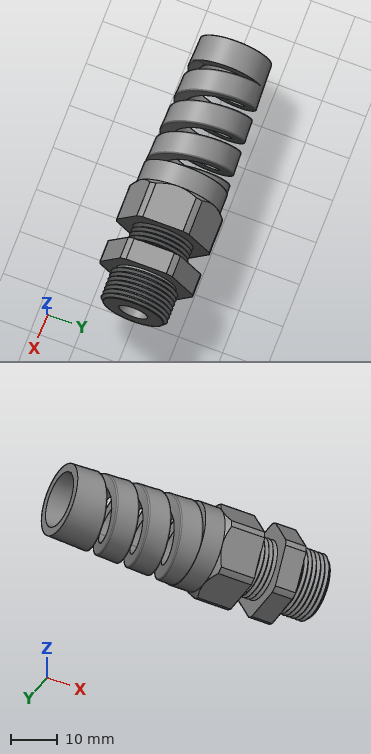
import cadquery as cq
import math


TOTAL_LENGTH = 61.98
SPIRAL_START = 6.05
SPIRAL_END = 30.3
COLLAR_END = 35.0
CAP_END = 44.05
BODY_HEX_START = 49.15
BODY_HEX_END = 54.1
SEAT = COLLAR_END

ACROSS_FLATS = 19.05
CORNER_DIAMETER = 21.14
COLLAR_RADIUS = ACROSS_FLATS / 2
CHAMFER = CORNER_DIAMETER / 2 - COLLAR_RADIUS

MOUTH_OUTER_RADIUS = 8.15
SLEEVE_ROOT_RADIUS = 9.4
MOUTH_BORE_RADIUS = 6.25
SLEEVE_BORE_RADIUS = 5.95

SLOT_PITCH = 7.6
SLOT_WIDTH = 2.3
SLOT_EDGE_FILLET = 0.25
SLOT_START_ANGLE = 87.0

BODY_BORE_RADIUS = 3.3
INNER_TEETH = 5
THREAD_PITCH = (BODY_HEX_START - CAP_END) / INNER_TEETH
INNER_CREST_RADIUS = 6.87
INNER_ROOT_RADIUS = 5.98
OUTER_CREST_RADIUS = 7.6
OUTER_ROOT_RADIUS = 6.85
OUTER_TEETH = 7
OUTER_THREAD_START = BODY_HEX_END + THREAD_PITCH / 2


def cylinder(start, end, radius):
    return cq.Workplane("YZ", origin=(start, 0, 0)).circle(radius).extrude(end - start)


def revolve_profile(points):
    """Turn an (x, radius) outline about the X axis."""
    return cq.Workplane("XY").polyline(points).close().revolve(360, (0, 0, 0), (1, 0, 0))


def turned_hexagon(start, end):
    """Hexagon with flats on +Z and -Z and its corners rounded to a cylinder."""
    sharp_diameter = ACROSS_FLATS / math.cos(math.radians(30))
    prism = cq.Workplane("YZ", origin=(start, 0, 0)).polygon(6, sharp_diameter).extrude(end - start)
    return prism.intersect(cylinder(start, end, CORNER_DIAMETER / 2))


def spiral_slot():
    """Ring sector twisted along the axis, which cuts a helical slot through the sleeve wall."""
    half_angle = math.radians(180 * SLOT_WIDTH / SLOT_PITCH)
    middle = math.radians(SLOT_START_ANGLE)
    inner = SLEEVE_BORE_RADIUS / 2
    outer = CORNER_DIAMETER / 2

    def point(radius, angle):
        return (radius * math.cos(angle), radius * math.sin(angle))

    first = middle - half_angle
    last = middle + half_angle
    length = SPIRAL_END - SPIRAL_START
    return (
        cq.Workplane("YZ", origin=(SPIRAL_START, 0, 0))
        .moveTo(*point(inner, first))
        .lineTo(*point(outer, first))
        .threePointArc(point(outer, middle), point(outer, last))
        .lineTo(*point(inner, last))
        .threePointArc(point(inner, middle), point(inner, first))
        .close()
        .twistExtrude(length, 360 * length / SLOT_PITCH)
    )


def slot_outer_edges(sleeve):
    """The helical edges on the outside of the sleeve, found by their distance from the axis."""
    edges = []
    for edge in sleeve.edges("%BSPLINE").vals():
        middle = edge.positionAt(0.5)
        if math.hypot(middle.y, middle.z) > MOUTH_OUTER_RADIUS:
            edges.append(edge)
    return edges


def make_cap():
    sleeve = revolve_profile([
        (0, MOUTH_BORE_RADIUS),
        (0, MOUTH_OUTER_RADIUS),
        (SPIRAL_END, SLEEVE_ROOT_RADIUS),
        (SPIRAL_END, SLEEVE_BORE_RADIUS),
        (SPIRAL_START, SLEEVE_BORE_RADIUS),
    ]).cut(spiral_slot())
    sleeve = sleeve.newObject(slot_outer_edges(sleeve)).fillet(SLOT_EDGE_FILLET)
    collar = cylinder(SPIRAL_END, COLLAR_END, COLLAR_RADIUS)
    chamfer_cone = revolve_profile([
        (COLLAR_END, 0),
        (COLLAR_END, COLLAR_RADIUS),
        (COLLAR_END + CHAMFER, COLLAR_RADIUS + CHAMFER),
        (CAP_END, COLLAR_RADIUS + CHAMFER),
        (CAP_END, 0),
    ])
    nut = turned_hexagon(COLLAR_END, CAP_END).intersect(chamfer_cone).union(collar)
    nut = nut.cut(cylinder(SPIRAL_END, SEAT, SLEEVE_BORE_RADIUS))
    nut = nut.cut(cylinder(SEAT, CAP_END, INNER_CREST_RADIUS))
    return nut.union(sleeve)


def inner_thread_outline():
    """Zigzag that leaves the cap at a crest and meets the body hexagon at a crest."""
    outline = [(CAP_END, INNER_CREST_RADIUS)]
    for tooth in range(INNER_TEETH):
        start = CAP_END + tooth * THREAD_PITCH
        outline.append((start + THREAD_PITCH / 2, INNER_ROOT_RADIUS))
        outline.append((start + THREAD_PITCH, INNER_CREST_RADIUS))
    return outline


def outer_thread_outline():
    outline = [(BODY_HEX_END, OUTER_ROOT_RADIUS), (OUTER_THREAD_START, OUTER_ROOT_RADIUS)]
    for tooth in range(OUTER_TEETH):
        start = OUTER_THREAD_START + tooth * THREAD_PITCH
        outline.append((start + THREAD_PITCH / 2, OUTER_CREST_RADIUS))
        outline.append((start + THREAD_PITCH, OUTER_ROOT_RADIUS))
    return outline + [(TOTAL_LENGTH, OUTER_ROOT_RADIUS)]


def make_body():
    core = revolve_profile(
        [(SEAT, 0), (SEAT, INNER_CREST_RADIUS)]
        + inner_thread_outline()
        + outer_thread_outline()
        + [(TOTAL_LENGTH, 0)]
    )
    body = core.union(turned_hexagon(BODY_HEX_START, BODY_HEX_END))
    return body.cut(cylinder(SEAT, TOTAL_LENGTH, BODY_BORE_RADIUS))


cap = make_cap()
body = make_body()

result = cq.Compound.makeCompound([cap.solids().val(), body.solids().val()])